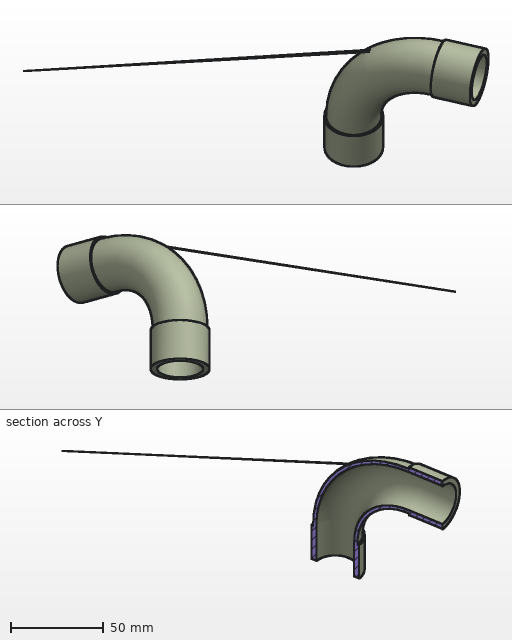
import cadquery as cq
import math

total_length = 261.0
total_height = 88.0

sleeve_diameter = 32.0
sleeve_length = 22.5
pipe_diameter = 30.0
bore_diameter = 25.0
neck_length = 1.0

needle_tip_height = 0.8
needle_root_x = 201.0
needle_root_height = 74.0
needle_root_width = 1.8
needle_thickness = 0.13

leg_x = total_length - total_height
leg_axis_x = leg_x + sleeve_diameter / 2
arm_axis_z = total_height - sleeve_diameter / 2
straight_length = sleeve_length + neck_length
bend_radius = arm_axis_z - straight_length


def elbow_rod(diameter):
    """Solid round rod along the full elbow centreline."""
    arc_shift = bend_radius * (1 - math.sqrt(0.5))
    path = (
        cq.Workplane("XZ")
        .moveTo(leg_axis_x, 0)
        .lineTo(leg_axis_x, straight_length)
        .threePointArc(
            (leg_axis_x + arc_shift, arm_axis_z - arc_shift),
            (leg_axis_x + bend_radius, arm_axis_z),
        )
        .lineTo(total_length, arm_axis_z)
    )
    return cq.Workplane("XY").center(leg_axis_x, 0).circle(diameter / 2).sweep(path)


def sleeves():
    """Wider cylinder around each end of the elbow."""
    lower = cq.Workplane("XY").center(leg_axis_x, 0).circle(sleeve_diameter / 2).extrude(sleeve_length)
    upper = (
        cq.Workplane("YZ", origin=(total_length, 0, arm_axis_z))
        .circle(sleeve_diameter / 2)
        .extrude(-sleeve_length)
    )
    return lower.union(upper)


def needle():
    """Thin triangular blade sloping up from its tip to the elbow."""
    rise = needle_root_height - needle_tip_height
    blade_plane = cq.Plane(
        origin=(0, 0, needle_tip_height),
        xDir=(needle_root_x, 0, rise),
        normal=(-rise, 0, needle_root_x),
    )
    length = math.hypot(needle_root_x, rise)
    return (
        cq.Workplane(blade_plane)
        .polyline([(0, 0), (length, -needle_root_width / 2), (length, needle_root_width / 2)])
        .close()
        .extrude(needle_thickness / 2, both=True)
    )


elbow = elbow_rod(pipe_diameter).union(sleeves())
result = elbow.union(needle()).cut(elbow_rod(bore_diameter))